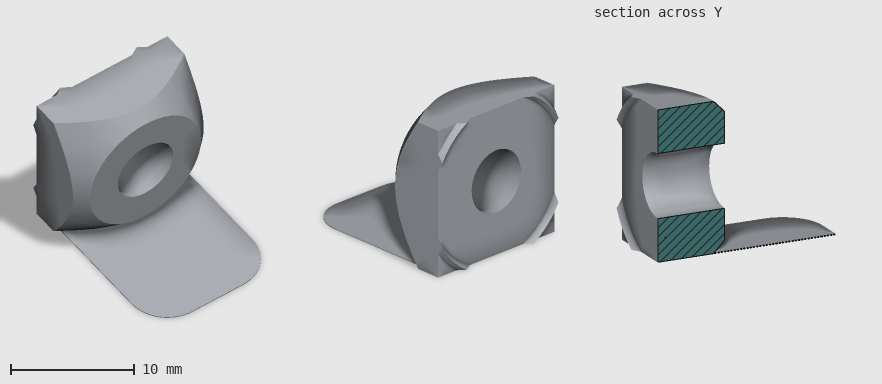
import cadquery as cq

total_length = 16.5
block_side = 13.0
block_back = 6.5
face_setback = 0.48
bore_diameter = 5.51
cone_back_radius = 5.51
ridge_crest_radius = 7.5
ridge_half_width = 0.36
tab_width = 12.0
tab_thickness = 0.1
tab_corner_radius = 3.5

half_side = block_side / 2
corner_radius = half_side * 2 ** 0.5
cone_front = block_back - (corner_radius - cone_back_radius)


def revolve_about_x(outline):
    """Turn a closed outline of (x, radius) points around the bore axis."""
    return cq.Workplane("XY").polyline(outline).close().revolve(360, (0, 0, 0), (1, 0, 0))


def square_bar():
    """Square envelope that trims every turned shape."""
    return cq.Workplane("YZ").rect(block_side, block_side).extrude(block_back)


def coned_blank():
    """Round blank just covering the square corners, with a 45 degree cone at the back."""
    return revolve_about_x([
        (face_setback, 0),
        (face_setback, corner_radius),
        (cone_front, corner_radius),
        (block_back, cone_back_radius),
        (block_back, 0),
    ])


def ridge():
    """Circular V-shaped ridge on the clamping face; only the corners of the square keep it."""
    return revolve_about_x([
        (face_setback, ridge_crest_radius - ridge_half_width),
        (0, ridge_crest_radius),
        (face_setback, ridge_crest_radius + ridge_half_width),
    ])


def tab():
    """Thin tongue flush with the block's bottom, starting inside the block."""
    tab_length = total_length - cone_front
    return (
        cq.Workplane("XY", origin=(cone_front, 0, -half_side))
        .box(tab_length, tab_width, tab_thickness, centered=(False, True, False))
        .edges("|Z and >X")
        .fillet(tab_corner_radius)
    )


bore = cq.Workplane("YZ").circle(bore_diameter / 2).extrude(block_back)
block = coned_blank().union(ridge()).intersect(square_bar()).cut(bore)
result = block.union(tab())